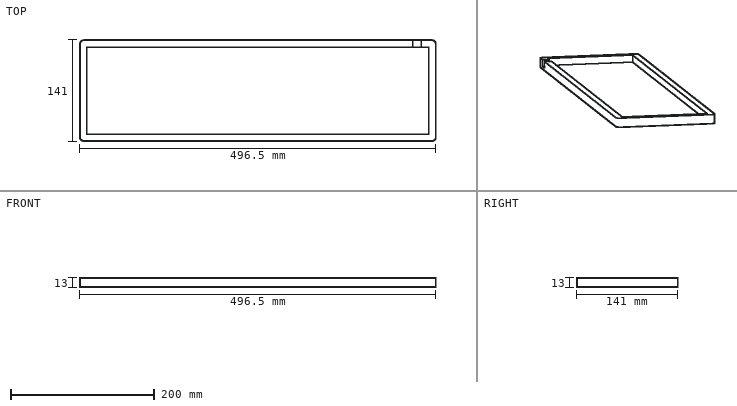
import cadquery as cq

length = 496.5
width = 141.0
height = 13.0
corner_radius = 6.0

wall = 10.0
floor = 3.0

notch_width = 12.0
notch_center_x = 222.0
notch_bottom = 4.0


def make_body():
    """Plain block with rounded vertical corners, standing on Z = 0."""
    block = cq.Workplane("XY").box(length, width, height, centered=(True, True, False))
    return block.edges("|Z").fillet(corner_radius)


def make_pocket():
    """Sharp-cornered pocket that leaves an even rim and a floor."""
    return (
        cq.Workplane("XY", origin=(0, 0, floor))
        .rect(length - 2 * wall, width - 2 * wall)
        .extrude(height - floor)
    )


def make_notch():
    """Slot across the back wall, open at the top, with its sill above the pocket floor."""
    wall_center_y = (width - wall) / 2
    return (
        cq.Workplane("XY", origin=(notch_center_x, wall_center_y, notch_bottom))
        .rect(notch_width, wall)
        .extrude(height - notch_bottom)
    )


result = make_body().cut(make_pocket()).cut(make_notch())